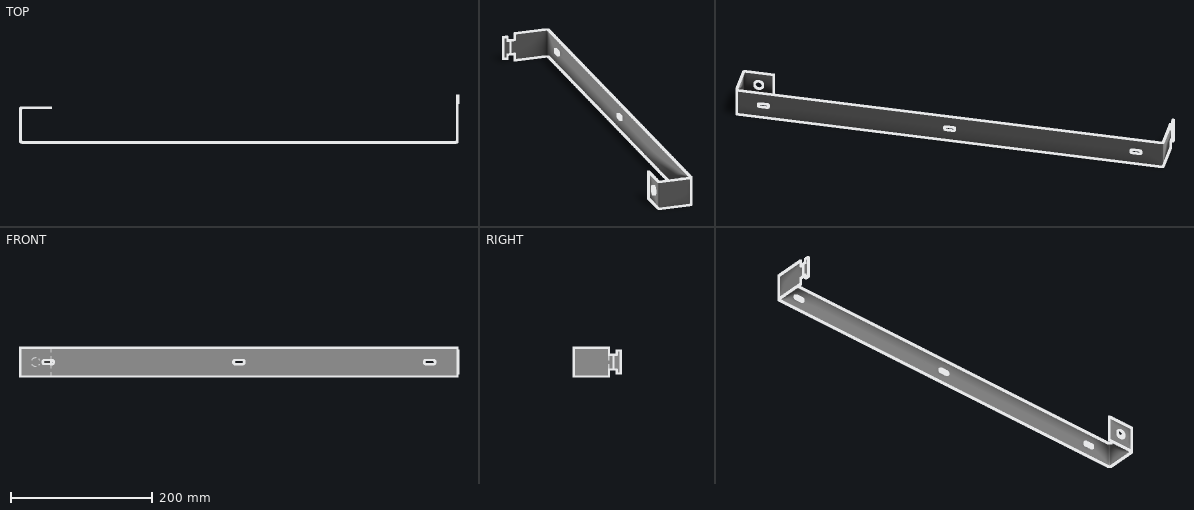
import cadquery as cq

length = 621.0
depth = 67.0
height = 41.0

thickness = 1.0
bend_outer = 3.0
bend_inner = bend_outer - thickness

body_length = length - thickness
wall_depth = 50.0
return_length = 44.0

double_start = 56.5
neck_height = 21.0
head_height = 33.0
head_depth = 6.0

slot_length = 15.5
slot_height = 5.5
slot_edge_distance = 40.0

return_hole_diameter = 12.5
return_hole_x = return_length / 2


def block(x_min, x_max, y_min, y_max, block_height):
    """Box centred on the mid height of the part."""
    size_x = x_max - x_min
    size_y = y_max - y_min
    centre = (x_min + size_x / 2, y_min + size_y / 2, 0)
    return cq.Workplane("XY").box(size_x, size_y, block_height).translate(centre)


def bent_channel():
    """Long plate with two side walls and a return flange on the left wall."""
    outer = block(0, body_length, 0, wall_depth, height).edges("|Z").fillet(bend_outer)
    inner = (
        block(thickness, body_length - thickness, thickness, wall_depth - thickness, height)
        .edges("|Z")
        .fillet(bend_inner)
    )
    right_wall_end = block(
        body_length - thickness, body_length, wall_depth - bend_outer, wall_depth, height
    )
    open_back = block(
        return_length, body_length - thickness, wall_depth - bend_outer, wall_depth, height
    )
    return outer.union(right_wall_end).cut(inner).cut(open_back)


def hook_tab():
    """T-shaped tab in the plane of the right wall, doubled in thickness towards its tip."""
    inner_x = body_length - thickness
    neck = block(inner_x, length, wall_depth, depth, neck_height)
    head = block(inner_x, length, depth - head_depth, depth, head_height)
    single_layer = block(body_length, length, wall_depth, double_start, height)
    return neck.union(head).cut(single_layer)


def mounting_slots():
    """Three rounded slots through the long plate."""
    middle = body_length / 2
    pitch = middle - slot_edge_distance
    return (
        cq.Workplane("XZ")
        .pushPoints([(middle + step * pitch, 0) for step in (-1, 0, 1)])
        .slot2D(slot_length, slot_height)
        .extrude(-thickness)
    )


def return_hole():
    """Round hole through the return flange."""
    return (
        cq.Workplane("XZ", origin=(0, wall_depth - thickness, 0))
        .center(return_hole_x, 0)
        .circle(return_hole_diameter / 2)
        .extrude(-thickness)
    )


result = bent_channel().union(hook_tab()).cut(mounting_slots()).cut(return_hole())